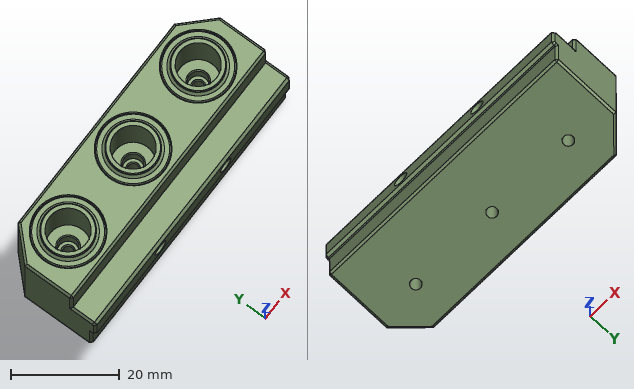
import cadquery as cq

length = 60.0
depth = 22.25
block_height = 19.0
total_height = 20.0
upper_setback = 5.45
lower_setback = 0.9
ledge_top = 12.95
ledge_bottom = 7.0
corner_cut = 6.0
edge_chamfer = 0.5
ledge_chamfer = 0.6

bushing_count = 3
bushing_spacing = 20.0
bushing_setback = 8.45
flange_diameter = 13.9
seat_chamfer = 0.2
flange_chamfer = 0.25
collar_base_diameter = 11.5
collar_diameter = 10.45
cone_height = 0.5
collar_rim_chamfer = 0.2
bore_diameter = 8.45
bore_depth = 10.0
step_diameter = 4.1
step_depth = 3.0
drain_diameter = 2.3
hole_chamfer = 0.25

mount_diameter = 3.2
mount_spacing = 20.0
mount_height = 10.0

front = -depth / 2
back = depth / 2
bushing_y = back - bushing_setback


def make_block():
    """Stepped bar with cut back corners and chamfered outer edges."""
    upper_front = front + upper_setback
    lower_front = front + lower_setback
    profile = [
        (back, 0),
        (lower_front, 0),
        (lower_front, ledge_bottom),
        (front + ledge_chamfer, ledge_bottom),
        (front, ledge_bottom + ledge_chamfer),
        (front, ledge_top - ledge_chamfer),
        (front + ledge_chamfer, ledge_top),
        (upper_front, ledge_top),
        (upper_front, block_height),
        (back, block_height),
    ]
    bar = cq.Workplane("YZ").polyline(profile).close().extrude(length / 2, both=True)
    bar = bar.edges("|Z and >Y").chamfer(corner_cut)

    outlines = bar.faces("<Z or >Z").edges()
    outlines = outlines.add(bar.faces("<X or >X").edges("not(>Y)"))
    return bar.newObject(list(set(outlines.vals()))).chamfer(edge_chamfer)


def revolve_profile(points):
    """Solid of revolution about Z from (radius, height) points."""
    return cq.Workplane("XZ").polyline(points).close().revolve(360, (0, 0, 0), (0, 1, 0))


def make_bushing():
    """Flange flush with the block top and a raised conical collar, without its bore."""
    flange_radius = flange_diameter / 2
    collar_radius = collar_diameter / 2
    return revolve_profile([
        (0, block_height - flange_chamfer),
        (flange_radius, block_height - flange_chamfer),
        (flange_radius - flange_chamfer, block_height),
        (collar_base_diameter / 2, block_height),
        (collar_radius, block_height + cone_height),
        (collar_radius, total_height - collar_rim_chamfer),
        (collar_radius - collar_rim_chamfer, total_height),
        (0, total_height),
    ])


def make_seat():
    """Recess around the flange, with a chamfered mouth that forms a V groove with the flange edge."""
    flange_radius = flange_diameter / 2
    return revolve_profile([
        (0, block_height - flange_chamfer),
        (flange_radius, block_height - flange_chamfer),
        (flange_radius, block_height - seat_chamfer),
        (flange_radius + seat_chamfer, block_height),
        (0, block_height),
    ])


def make_bore():
    """Stepped through bore, each step with a small lead-in chamfer."""
    bore_radius = bore_diameter / 2
    step_radius = step_diameter / 2
    drain_radius = drain_diameter / 2
    bore_floor = total_height - bore_depth
    step_floor = bore_floor - step_depth
    return revolve_profile([
        (0, 0),
        (drain_radius, 0),
        (drain_radius, step_floor - hole_chamfer),
        (drain_radius + hole_chamfer, step_floor),
        (step_radius, step_floor),
        (step_radius, bore_floor - hole_chamfer),
        (step_radius + hole_chamfer, bore_floor),
        (bore_radius, bore_floor),
        (bore_radius, total_height),
        (0, total_height),
    ])


result = make_block()

for index in range(bushing_count):
    place = ((index - (bushing_count - 1) / 2) * bushing_spacing, bushing_y, 0)
    result = result.cut(make_seat().translate(place))
    result = result.union(make_bushing().translate(place))
    result = result.cut(make_bore().translate(place))

for side in (-1, 1):
    mount_axis = cq.Workplane("XZ", origin=(side * mount_spacing / 2, 0, mount_height))
    result = result.cut(mount_axis.circle(mount_diameter / 2).extrude(depth, both=True))